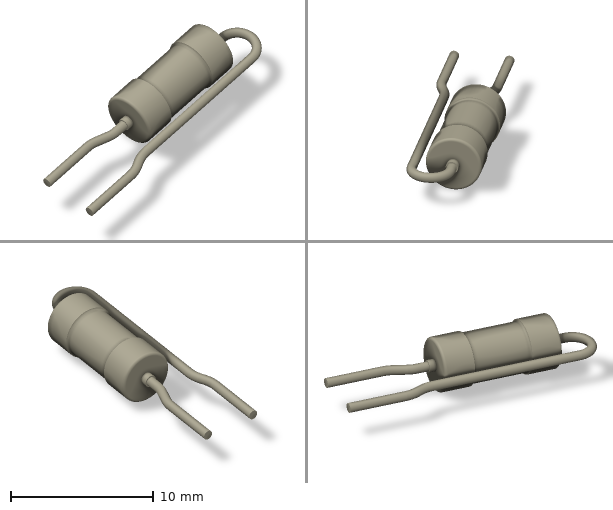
import cadquery as cq
import math

body_length = 9.0
cap_radius = 2.0
cap_length = 2.3
cap_rim_fillet = 0.2
sleeve_radius = 1.85
cap_inner_fillet = 0.18
collar_radius = 0.45
collar_length = 0.5

wire_radius = 0.35
return_x = 2.77
return_bend_start = 5.5
return_bend_radius = return_x / 2
jog_offset = 0.6
jog_start = -5.82
jog_length = 2.32
front_jog_angle = 20.0
return_jog_angle = 25.0
lead_tip = -12.5

body_half = body_length / 2
cap_inner_end = body_half - cap_length


def cylinder(radius, half_length):
    """Cylinder on the Y axis, symmetric about Y = 0."""
    return cq.Workplane("XZ").circle(radius).extrude(half_length, both=True)


def make_cap():
    """End cap on the +Y side: rounded outer rim, concave fillet down to the sleeve at the inner end."""
    diagonal = math.sqrt(0.5)
    fillet_centre_radius = sleeve_radius + cap_inner_fillet
    fillet_length = math.sqrt(cap_inner_fillet**2 - (fillet_centre_radius - cap_radius) ** 2)
    fillet_end = cap_inner_end - fillet_length
    fillet_mid = (
        fillet_centre_radius - cap_inner_fillet * diagonal,
        fillet_end + cap_inner_fillet * diagonal,
    )
    rim_mid = (
        cap_radius - cap_rim_fillet * (1 - diagonal),
        body_half - cap_rim_fillet * (1 - diagonal),
    )
    profile = (
        cq.Workplane("XY")
        .moveTo(0, fillet_end)
        .lineTo(sleeve_radius, fillet_end)
        .threePointArc(fillet_mid, (cap_radius, cap_inner_end))
        .lineTo(cap_radius, body_half - cap_rim_fillet)
        .threePointArc(rim_mid, (cap_radius - cap_rim_fillet, body_half))
        .lineTo(0, body_half)
        .close()
    )
    return profile.revolve(360, (0, 0, 0), (0, 1, 0))


def make_body():
    """Sleeve, both caps and the short collars where the leads come out."""
    cap = make_cap()
    body = cylinder(sleeve_radius, body_half - cap_rim_fillet)
    body = body.union(cylinder(collar_radius, body_half + collar_length))
    return body.union(cap).union(cap.mirror("XZ"))


def add_jog(path, start_x, side, angle):
    """Extend a path in -Y with two equal opposite bends that shift it to one side, then a straight tip."""
    bend = math.radians(angle)
    radius = (jog_length - jog_offset / math.tan(bend)) / (2 * math.tan(bend / 2))

    def along_bend(turn):
        return radius * (1 - math.cos(turn)), radius * math.sin(turn)

    mid_shift, mid_drop = along_bend(bend / 2)
    end_shift, end_drop = along_bend(bend)
    end_x = start_x + side * jog_offset
    jog_end = jog_start - jog_length
    return (
        path.threePointArc(
            (start_x + side * mid_shift, jog_start - mid_drop),
            (start_x + side * end_shift, jog_start - end_drop),
        )
        .lineTo(end_x - side * end_shift, jog_end + end_drop)
        .threePointArc((end_x - side * mid_shift, jog_end + mid_drop), (end_x, jog_end))
        .lineTo(end_x, lead_tip)
    )


def sweep_wire(path, start_y):
    """Round wire swept along a path that begins on the body axis."""
    return cq.Workplane("XZ", origin=(0, start_y, 0)).circle(wire_radius).sweep(path)


def make_front_lead():
    """Lead from the -Y end that jogs towards -X."""
    path = cq.Workplane("XY").moveTo(0, -body_half).lineTo(0, jog_start)
    return sweep_wire(add_jog(path, 0, -1, front_jog_angle), -body_half)


def make_return_lead():
    """Lead from the +Y end that turns back along the body and jogs towards +X."""
    path = (
        cq.Workplane("XY")
        .moveTo(0, body_half)
        .lineTo(0, return_bend_start)
        .threePointArc(
            (return_bend_radius, return_bend_start + return_bend_radius),
            (return_x, return_bend_start),
        )
        .lineTo(return_x, jog_start)
    )
    return sweep_wire(add_jog(path, return_x, 1, return_jog_angle), body_half)


result = make_body().union(make_front_lead()).union(make_return_lead())